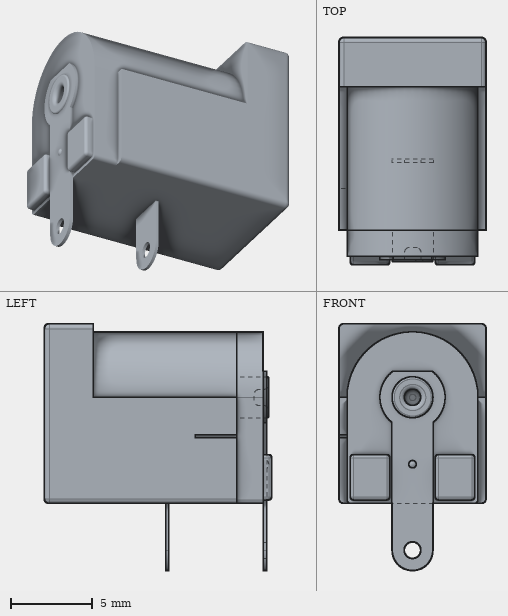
import cadquery as cq


housing_width = 9.0
half_width = housing_width / 2
housing_top = half_width
housing_bottom = -6.5
housing_end = 13.38
flange_depth = 3.0
flange_start = housing_end - flange_depth
barrel_radius = 4.0
housing_fillet = 0.3
side_slot_length = 2.55
side_slot_height = 0.2
side_slot_z = -2.39

cap_depth = 1.6
cap_fillet = 0.24
pad_width = 2.42
pad_height = 2.78
pad_depth = 0.53
pad_x = 2.6
pad_z = -4.89
pad_fillet = 0.2

tab_width = 2.5
tab_bottom = -10.6
tab_hole_diameter = 1.0
tab_end_z = tab_bottom + tab_width / 2
rear_tab_thickness = 0.23
rear_tab_head_radius = 2.0
rear_tab_head_top = 1.6
dome_radius = 0.23
dome_height = 0.1
dome_z = -4.09
lower_tab_thickness = 0.2
lower_tab_y = 5.86

pin_diameter = 2.5
pin_projection = 0.12
pin_hole_diameter = 1.0
pin_hole_depth = 0.9
pin_hole_lip_fillet = 0.3
pin_hole_floor_fillet = 0.3
pin_outer_face = -rear_tab_thickness - pin_projection


def box(x_range, y_range, z_range):
    """Box spanning the given (low, high) ranges."""
    size = [high - low for low, high in (x_range, y_range, z_range)]
    corner = (x_range[0], y_range[0], z_range[0])
    return cq.Workplane("XY").box(*size, centered=False).translate(corner)


def extrude_along_y(profile, y_start, y_end):
    """Extrude a profile sketched on the XZ plane from y_start to y_end."""
    return profile.extrude(y_start - y_end).translate((0, y_start, 0))


def cylinder(diameter, z, y_start, y_end):
    """Cylinder parallel to Y, centered on X = 0."""
    return extrude_along_y(cq.Workplane("XZ").center(0, z).circle(diameter / 2), y_start, y_end)


def barrel(y_start, y_end):
    """Straight-sided body with a half-round top about the barrel axis."""
    profile = (
        cq.Workplane("XZ")
        .moveTo(-barrel_radius, housing_bottom)
        .lineTo(-barrel_radius, 0)
        .threePointArc((0, barrel_radius), (barrel_radius, 0))
        .lineTo(barrel_radius, housing_bottom)
        .close()
    )
    return extrude_along_y(profile, y_start, y_end)


def make_housing():
    """Body with a full-outline flange at +Y, a round-topped barrel and low side walls."""
    x_range = (-half_width, half_width)
    block = box(x_range, (cap_depth, housing_end), (housing_bottom, housing_top))
    block = block.edges("|Y or >Y").fillet(housing_fillet)
    cutaway = box(x_range, (cap_depth, flange_start), (0, housing_top))
    rounded_core = barrel(cap_depth, flange_start).intersect(block)
    body = block.cut(cutaway).union(rounded_core)
    side_slot = box(
        (-half_width, -barrel_radius),
        (cap_depth, cap_depth + side_slot_length),
        (side_slot_z - side_slot_height / 2, side_slot_z + side_slot_height / 2),
    )
    return body.cut(side_slot)


def make_pad(x):
    """Rounded rectangular pad standing on the outer face of the cap."""
    pad = cq.Workplane("XY").box(pad_width, pad_depth, pad_height)
    pad = pad.edges("not >Y").fillet(pad_fillet)
    return pad.translate((x, -pad_depth / 2, pad_z))


def make_cap(pin_shape):
    """Rear closing plate with its two pads and a hole for the pin."""
    cap = barrel(0, cap_depth).edges("|Y and <Z").fillet(cap_fillet)
    for x in (-pad_x, pad_x):
        cap = cap.union(make_pad(x))
    return cap.cut(pin_shape)


def tab_strip(top, y_start, y_end):
    """Strip with a rounded lower end and a solder hole at the center of that end."""
    half = tab_width / 2
    profile = (
        cq.Workplane("XZ")
        .moveTo(-half, top)
        .lineTo(-half, tab_end_z)
        .threePointArc((0, tab_bottom), (half, tab_end_z))
        .lineTo(half, top)
        .close()
    )
    strip = extrude_along_y(profile, y_start, y_end)
    return strip.cut(cylinder(tab_hole_diameter, tab_end_z, y_start, y_end))


def make_dome():
    """Shallow round bump standing on the outer face of the rear tab."""
    sphere_radius = (dome_radius**2 + dome_height**2) / (2 * dome_height)
    profile = (
        cq.Workplane("XY")
        .moveTo(0, -dome_height)
        .radiusArc((dome_radius, 0), -sphere_radius)
        .lineTo(0, 0)
        .close()
    )
    dome = profile.revolve(360, (0, 0), (0, 1))
    return dome.translate((0, -rear_tab_thickness, dome_z))


def make_rear_tab(pin_shape):
    """Tab with a flat-topped round head about the pin and a small dome."""
    head = cylinder(2 * rear_tab_head_radius, 0, -rear_tab_thickness, 0)
    head = head.intersect(
        box(
            (-rear_tab_head_radius, rear_tab_head_radius),
            (-rear_tab_thickness, 0),
            (-rear_tab_head_radius, rear_tab_head_top),
        )
    )
    dome = make_dome()
    return tab_strip(0, -rear_tab_thickness, 0).union(head).union(dome).cut(pin_shape)


def make_lower_tab():
    """Tab standing on the underside of the housing."""
    half = lower_tab_thickness / 2
    return tab_strip(housing_bottom, lower_tab_y - half, lower_tab_y + half)


def pin_blank():
    """Plain cylinder that also shapes the holes the pin sits in."""
    return cylinder(pin_diameter, 0, pin_outer_face, cap_depth)


def make_pin():
    """Pin through the tab and cap, with a round-floored blind hole in its outer end."""
    pin = pin_blank().faces("<Y").edges().fillet(pin_projection)
    hole = cylinder(pin_hole_diameter, 0, pin_outer_face, pin_outer_face + pin_hole_depth)
    hole = hole.faces(">Y").edges().fillet(pin_hole_floor_fillet)
    pin = pin.cut(hole)
    hole_rim = cq.selectors.RadiusNthSelector(0)
    return pin.faces("<Y").edges(hole_rim).fillet(pin_hole_lip_fillet)


housing = make_housing()
cap = make_cap(pin_blank())
rear_tab = make_rear_tab(pin_blank())
lower_tab = make_lower_tab()
pin = make_pin()

result = cq.Compound.makeCompound(
    [housing.val(), cap.val(), rear_tab.val(), lower_tab.val(), pin.val()]
)